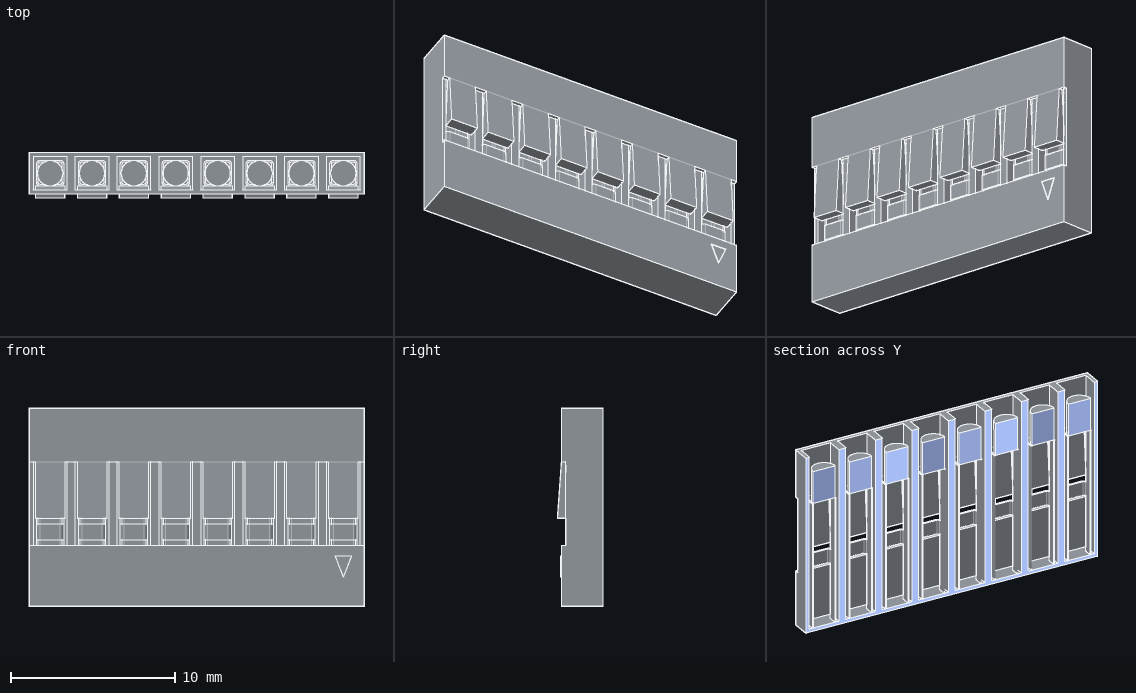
import cadquery as cq

positions = 8
pitch = 2.55
length = positions * pitch
depth = pitch
height = 12.0

position_centers = [(i + 0.5) * pitch - length / 2 for i in range(positions)]

cavity_side = 2.03
wall = (pitch - cavity_side) / 2
floor = wall

window_bottom = 3.7
window_top = 8.75

latch_width = 1.79
latch_bottom = 5.32
latch_reach = 0.25

mark_width = 1.0
mark_top = 3.05
mark_tip = 1.77
mark_relief = 0.05

contact_width = 1.67
contact_depth = 1.55
contact_wall = 0.1
contact_corner = 0.22
band_bottom = 4.02
band_top = 4.98
barrel_diameter = contact_depth
barrel_sink = 1.04
barrel_top = height - barrel_sink
channel_top = window_top
center_y = depth / 2
contact_front = center_y - contact_depth / 2


def box(size_x, size_y, size_z, x, front, bottom):
    """Box centred on x, starting at its front face and its bottom."""
    block = cq.Workplane("XY").box(size_x, size_y, size_z, centered=(True, False, False))
    return block.translate((x, front, bottom))


def make_latch(x):
    """Wedge that widens downwards, outwards past the front face and inwards to the contact."""
    side = [
        (0, window_top),
        (-latch_reach, latch_bottom),
        (contact_front, latch_bottom),
        (wall, window_top),
        (wall, window_top + wall),
        (0, window_top + wall),
    ]
    latch = cq.Workplane("YZ").polyline(side).close().extrude(latch_width / 2, both=True)
    return latch.translate((x, 0, 0))


def make_mark(x):
    """Raised triangle pointing down."""
    outline = [
        (x - mark_width / 2, mark_top),
        (x + mark_width / 2, mark_top),
        (x, mark_tip),
    ]
    return cq.Workplane("XZ", origin=(0, wall, 0)).polyline(outline).close().extrude(wall + mark_relief)


def make_housing():
    """Block with a row of cavities, latches in the window band and the position mark."""
    body = box(length, depth, height, 0, 0, 0)
    for x in position_centers:
        body = body.cut(box(cavity_side, cavity_side, height - floor, x, wall, floor))
    body = body.cut(box(length, wall, window_top - window_bottom, 0, 0, window_bottom))
    for x in position_centers:
        body = body.union(make_latch(x))
    return body.union(make_mark(position_centers[-1]))


def make_contact(x):
    """Channel standing on the cavity floor, closed in front by the band, with the barrel on top."""
    channel_height = channel_top - floor
    bore_width = contact_width - 2 * contact_wall
    bore_depth = contact_depth - 2 * contact_wall
    body = box(contact_width, contact_depth, channel_height, x, contact_front, floor)
    body = body.edges("|Z").fillet(contact_corner)
    bore = box(bore_width, bore_depth, channel_height, x, contact_front + contact_wall, floor)
    body = body.cut(bore.edges("|Z").fillet(contact_corner - contact_wall))

    for bottom, top in [(floor, band_bottom), (band_top, channel_top)]:
        body = body.cut(box(contact_width, contact_corner, top - bottom, x, contact_front, bottom))

    barrel = (
        cq.Workplane("XY", origin=(x, center_y, channel_top))
        .circle(barrel_diameter / 2)
        .extrude(barrel_top - channel_top)
    )
    return body.union(barrel)


housing = make_housing()
contacts = [make_contact(x) for x in position_centers]

result = cq.Compound.makeCompound([housing.val(), *[contact.val() for contact in contacts]])